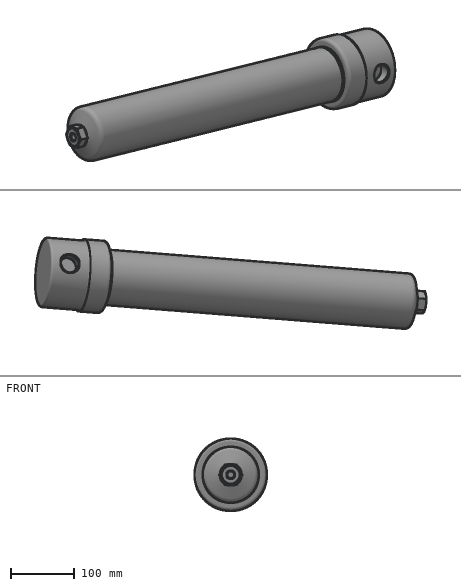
import cadquery as cq
import math

total_length = 622.0

head_length = 98.0
collar_radius = 57.55
collar_length = 35.5
collar_round = 5.5
step_round = 2.0
cap_radius = 55.5
cap_round = 4.0

port_radius = 14.0
port_depth = 18.5
port_chamfer = 1.55
port_from_end = 30.0

bowl_radius = 44.0
rim_step = 0.5
rim_height = 4.0
knuckle_length = 8.0
crown_edge_radius = 38.5
crown_end_radius = 17.5
crown_height = 7.0

drain_flats = 32.0
drain_length = 15.0
drain_face_radius = 14.0
drain_chamfer_angle = 20.0
drain_hole_radius = 5.5
drain_hole_depth = 15.0
drain_countersink = 1.0

crown_end = drain_length
crown_start = crown_end + crown_height
wall_start = crown_start + knuckle_length
head_bottom = total_length - head_length
collar_top = head_bottom + collar_length
port_y = total_length - port_from_end


def revolve_about_y(profile):
    """Close an XY profile and turn it around the Y axis."""
    return profile.close().revolve(360, (0, 0, 0), (0, 1, 0))


def cut_port(head, side):
    """Cut a blind port into the +X (side=1) or -X (side=-1) flank and chamfer its mouth."""
    bore = (
        cq.Workplane("YZ", origin=(side * (cap_radius - port_depth), 0, 0))
        .center(port_y, 0)
        .circle(port_radius)
        .extrude(side * 2 * port_depth)
    )
    mouth = cq.selectors.BoxSelector(
        (side * (cap_radius - port_depth / 4), port_y - port_radius, -port_radius),
        (side * cap_radius, port_y + port_radius, port_radius),
    )
    return head.cut(bore).edges(mouth).chamfer(port_chamfer)


def make_head():
    """Round head with a wider collar and two blind ports on opposite sides."""
    profile = (
        cq.Workplane("XY")
        .moveTo(0, head_bottom)
        .lineTo(collar_radius - collar_round, head_bottom)
        .radiusArc((collar_radius, head_bottom + collar_round), -collar_round)
        .lineTo(collar_radius, collar_top)
        .lineTo(cap_radius + step_round, collar_top)
        .radiusArc((cap_radius, collar_top + step_round), step_round)
        .lineTo(cap_radius, total_length - cap_round)
        .radiusArc((cap_radius - cap_round, total_length), -cap_round)
        .lineTo(0, total_length)
    )
    head = revolve_about_y(profile)
    for side in (-1, 1):
        head = cut_port(head, side)
    return head


def make_drain_boss():
    """Hexagonal boss reaching into the bowl, its outer corners chamfered by a cone."""
    drain_corners = drain_flats / math.cos(math.pi / 6)
    hexagon = (
        cq.Workplane("XZ", origin=(0, wall_start, 0))
        .polygon(6, drain_corners)
        .extrude(wall_start)
    )
    cone_radius = drain_face_radius + wall_start / math.tan(math.radians(drain_chamfer_angle))
    chamfer_cone = revolve_about_y(
        cq.Workplane("XY")
        .lineTo(drain_face_radius, 0)
        .lineTo(cone_radius, wall_start)
        .lineTo(0, wall_start)
    )
    return hexagon.intersect(chamfer_cone)


def make_drain_hole():
    """Blind countersunk hole in the drain face, as a cutting shape."""
    return revolve_about_y(
        cq.Workplane("XY")
        .lineTo(drain_hole_radius + drain_countersink, 0)
        .lineTo(drain_hole_radius, drain_countersink)
        .lineTo(drain_hole_radius, drain_hole_depth)
        .lineTo(0, drain_hole_depth)
    )


def make_bowl():
    """Long bowl with a slightly raised rim, a domed end and a drilled drain boss."""
    knuckle_width = bowl_radius - crown_edge_radius
    knuckle_radius = (knuckle_width**2 + knuckle_length**2) / (2 * knuckle_width)
    profile = (
        cq.Workplane("XY")
        .moveTo(0, crown_end)
        .lineTo(crown_end_radius, crown_end)
        .lineTo(crown_edge_radius, crown_start)
        .radiusArc((bowl_radius, wall_start), -knuckle_radius)
        .lineTo(bowl_radius, head_bottom - rim_height)
        .lineTo(bowl_radius + rim_step, head_bottom - rim_height)
        .lineTo(bowl_radius + rim_step, head_bottom)
        .lineTo(0, head_bottom)
    )
    return revolve_about_y(profile).union(make_drain_boss()).cut(make_drain_hole())


head = make_head()
bowl = make_bowl()
result = cq.Compound.makeCompound([head.solids().val(), bowl.solids().val()])